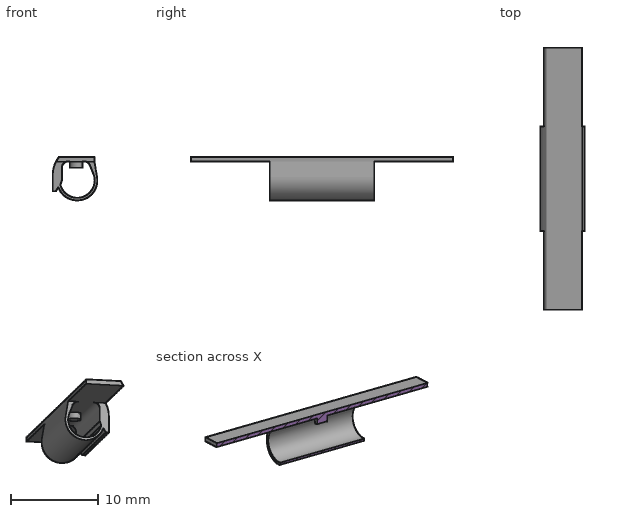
import cadquery as cq
import math

plate_length = 30.0
plate_thickness = 0.55
plate_right = 4.8
plate_edge_radius = 0.1

clip_length = 12.0
clip_width = 5.13
clip_height = 5.0
hook_radius = 2.3
hook_thickness = 0.33
hook_inner_radius = hook_radius - hook_thickness
hook_x = clip_width - hook_radius
hook_z = hook_radius - clip_height

leg_bend_z = -2.1
leg_bottom_z = -3.95
leg_arc_radius = 3.35
leg_arc_angle = 26.0
leg_slant_angle = 31.0
leg_tip_width = 0.35
leg_inner_x = 1.08
leg_flare_z = -2.7
leg_flare_x = 0.9
notch_x = 0.65
corner_radius = 0.7

wall_inner_angle = 22.0

pin_diameter = 1.5
pin_height = 0.72
pin_x = 2.7


def hook_point(radius, angle):
    """Point on a circle about the hook axis, with the angle in degrees from +X."""
    a = math.radians(angle)
    return (hook_x + radius * math.cos(a), hook_z + radius * math.sin(a))


def leg_arc_point(angle):
    """Point on the leg's outer arc, with the angle in degrees up from the bend."""
    a = math.radians(angle)
    return (leg_arc_radius * (1 - math.cos(a)), leg_bend_z + leg_arc_radius * math.sin(a))


def slant_x(z):
    """X of the slanted left side, which starts where the leg's outer arc ends."""
    start_x, start_z = leg_arc_point(leg_arc_angle)
    return start_x + (z - start_z) * math.tan(math.radians(leg_slant_angle))


def hook_angle_at(radius, x):
    """Angle in degrees where the lower left of a hook circle reaches x."""
    return -math.degrees(math.acos((x - hook_x) / radius))


def outer_tangent_angle(x, z):
    """Angle where a line from (x, z) touches the right side of the hook."""
    direction = math.atan2(z - hook_z, x - hook_x)
    distance = math.hypot(x - hook_x, z - hook_z)
    return math.degrees(direction - math.acos(hook_radius / distance))


def extrude_centred(outline, length):
    return outline.close().extrude(length / 2, both=True)


def make_plate():
    outline = (
        cq.Workplane("XZ")
        .moveTo(slant_x(0), 0)
        .lineTo(plate_right, 0)
        .lineTo(plate_right, -plate_thickness)
        .lineTo(slant_x(-plate_thickness), -plate_thickness)
    )
    plate = extrude_centred(outline, plate_length)
    return plate.faces(">Z").edges("|Y").fillet(plate_edge_radius)


def make_clip_body():
    """Clip filled solid, bounded by its outer outline."""
    touch_angle = outer_tangent_angle(plate_right, -plate_thickness)
    notch_angle = hook_angle_at(hook_radius, notch_x)
    outline = (
        cq.Workplane("XZ")
        .moveTo(slant_x(-plate_thickness), -plate_thickness)
        .lineTo(plate_right, -plate_thickness)
        .lineTo(*hook_point(hook_radius, touch_angle))
        .threePointArc(hook_point(hook_radius, -90), hook_point(hook_radius, notch_angle))
        .lineTo(leg_tip_width, leg_bottom_z)
        .lineTo(0, leg_bottom_z)
        .lineTo(0, leg_bend_z)
        .threePointArc(leg_arc_point(leg_arc_angle / 2), leg_arc_point(leg_arc_angle))
    )
    return extrude_centred(outline, clip_length)


def make_clip_opening():
    """Inside of the clip, with rounded corners below the plate."""
    wall_x, wall_z = hook_point(hook_inner_radius, wall_inner_angle)
    wall_rise = -plate_thickness - wall_z
    wall_top_x = wall_x - wall_rise * math.tan(math.radians(wall_inner_angle))
    flare_angle = hook_angle_at(hook_inner_radius, leg_flare_x)
    outline = (
        cq.Workplane("XZ")
        .moveTo(leg_inner_x, -plate_thickness)
        .lineTo(wall_top_x, -plate_thickness)
        .lineTo(wall_x, wall_z)
        .threePointArc(hook_point(hook_inner_radius, -90), hook_point(hook_inner_radius, flare_angle))
        .lineTo(leg_inner_x, leg_flare_z)
    )
    opening = extrude_centred(outline, clip_length)
    return opening.faces(">Z").edges("|Y").fillet(corner_radius)


def make_pin():
    return (
        cq.Workplane("XY")
        .workplane(offset=-plate_thickness)
        .center(pin_x, 0)
        .circle(pin_diameter / 2)
        .extrude(-pin_height)
    )


clip = make_clip_body().cut(make_clip_opening())
result = make_plate().union(clip).union(make_pin())